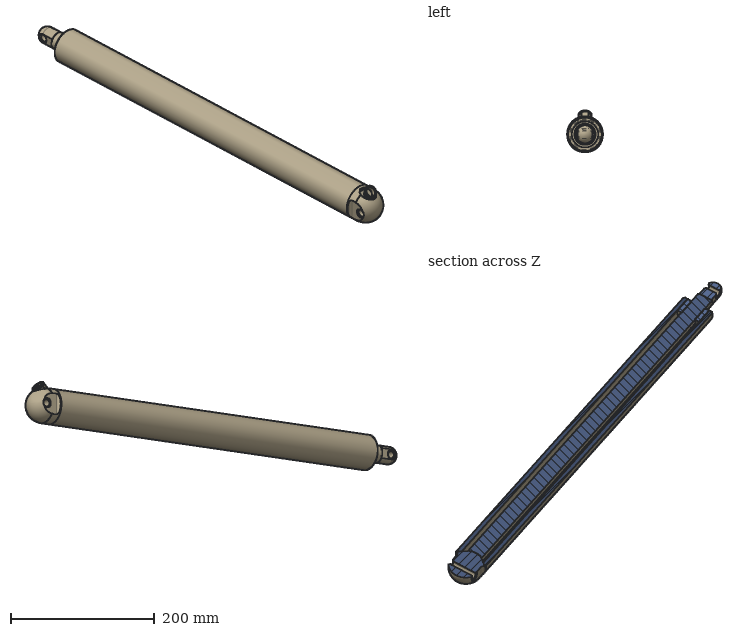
import cadquery as cq
import math

LENGTH = 643.0

TUBE_DIAMETER = 50.0
TUBE_BORE = 36.5
TUBE_START = 47.5
TUBE_END = 605.0
TUBE_CHAMFER = 2.0
GLAND_MOUTH = 29.5
GLAND_DEPTH = 26.0

ROD_DIAMETER = 25.0
EYE_HOLE_X = 13.5
EYE_FLAT_WIDTH = 20.5
EYE_END = 31.5

PIN_HOLE = 10.0
PIN_COUNTERSINK = 13.5

CAP_FLAT_WIDTH = 40.5
CAP_FLAT_START = 607.0
CAP_FLAT_FILLET = 4.0
CAP_EYE_X = 627.0
DOME_DIAMETER = 49.5

FITTING_RIM_DIAMETER = 18.5
FITTING_RIM_THICKNESS = 2.0
FITTING_LENGTH = 18.0
FITTING_BORE = 13.5
FITTING_BORE_DEPTH = 8.0
FITTING_TILT = 45.0
FITTING_TOP_X = 621.0
FITTING_TOP_Z = 33.5
POCKET_DIAMETER = 22.0


def cylinder(diameter, start, end):
    """Solid cylinder on the ram's axis."""
    return cq.Workplane("YZ", origin=(start, 0, 0)).circle(diameter / 2).extrude(end - start)


def ball(diameter, x):
    """Sphere centred on the ram's axis, revolved about it so that its poles lie on X."""
    radius = diameter / 2
    return (
        cq.Workplane("XY")
        .moveTo(-radius, 0)
        .threePointArc((0, radius), (radius, 0))
        .close()
        .revolve(360, (0, 0, 0), (1, 0, 0))
        .translate((x, 0, 0))
    )


def pin_hole(x, flat_width):
    """Cutter for a hole along Y, countersunk at 45 degrees on both flats."""
    half_width = flat_width / 2
    bore_radius = PIN_HOLE / 2
    mouth_radius = PIN_COUNTERSINK / 2
    cone_depth = mouth_radius - bore_radius
    profile = [
        (0, -half_width),
        (mouth_radius, -half_width),
        (bore_radius, cone_depth - half_width),
        (bore_radius, half_width - cone_depth),
        (mouth_radius, half_width),
        (0, half_width),
    ]
    return (
        cq.Workplane("XY")
        .polyline(profile)
        .close()
        .revolve(360, (0, 0, 0), (0, 1, 0))
        .translate((x, 0, 0))
    )


def side_cutter(side, flat_width, start, end):
    """Block that cuts one flat, on the +Y (side = 1) or -Y (side = -1) side."""
    depth = TUBE_DIAMETER
    return (
        cq.Workplane("XY")
        .box(end - start, depth, TUBE_DIAMETER * 2)
        .translate(((start + end) / 2, side * (flat_width + depth) / 2, 0))
    )


def make_rod_eye():
    radius = ROD_DIAMETER / 2
    body = cylinder(ROD_DIAMETER, radius, EYE_END).union(ball(ROD_DIAMETER, radius))
    for side in (-1, 1):
        body = body.cut(side_cutter(side, EYE_FLAT_WIDTH, 0, EYE_END))
    return body.cut(pin_hole(EYE_HOLE_X, EYE_FLAT_WIDTH))


def make_rod():
    return cylinder(ROD_DIAMETER, EYE_END, TUBE_END)


def make_tube():
    tube = cylinder(TUBE_DIAMETER, TUBE_START, TUBE_END).faces("<X").chamfer(TUBE_CHAMFER)
    return tube.cut(cylinder(TUBE_BORE, TUBE_START, TUBE_END))


def make_gland():
    """Bush between rod and tube, with a 45-degree countersink at its mouth."""
    bush = cylinder(TUBE_BORE, TUBE_START, TUBE_START + GLAND_DEPTH)
    bush = bush.cut(cylinder(ROD_DIAMETER, TUBE_START, TUBE_START + GLAND_DEPTH))
    mouth_chamfer = (GLAND_MOUTH - ROD_DIAMETER) / 2
    return bush.faces("<X").edges(cq.selectors.RadiusNthSelector(0)).chamfer(mouth_chamfer)


def fitting_plane():
    """Plane of the fitting's outer end, with its normal along the fitting's axis."""
    tilt = math.radians(FITTING_TILT)
    rim_radius = FITTING_RIM_DIAMETER / 2
    face_centre = (
        FITTING_TOP_X + rim_radius * math.cos(tilt),
        0,
        FITTING_TOP_Z - rim_radius * math.sin(tilt),
    )
    return cq.Plane(
        origin=face_centre,
        xDir=(0, 1, 0),
        normal=(math.sin(tilt), 0, math.cos(tilt)),
    )


def make_fitting():
    """Hexagonal bar with one flat facing up and towards -X, and a bored round rim on its end."""
    end_plane = fitting_plane()
    hexagon = cq.Workplane(end_plane).polygon(6, FITTING_RIM_DIAMETER).extrude(-FITTING_LENGTH)
    rim = cq.Workplane(end_plane).circle(FITTING_RIM_DIAMETER / 2).extrude(-FITTING_RIM_THICKNESS)
    bore = cq.Workplane(end_plane).circle(FITTING_BORE / 2).extrude(-FITTING_BORE_DEPTH)
    return hexagon.union(rim).cut(bore)


def make_cap():
    dome_x = LENGTH - DOME_DIAMETER / 2
    body = cylinder(TUBE_DIAMETER, TUBE_END, dome_x).union(ball(DOME_DIAMETER, dome_x))
    for side in (-1, 1):
        cutter = side_cutter(side, CAP_FLAT_WIDTH, CAP_FLAT_START, LENGTH)
        inner_face = "<Y" if side > 0 else ">Y"
        cutter = cutter.faces(inner_face).edges("<X").fillet(CAP_FLAT_FILLET)
        body = body.cut(cutter)
    pocket = (
        cq.Workplane(fitting_plane())
        .workplane(offset=-FITTING_LENGTH)
        .circle(POCKET_DIAMETER / 2)
        .extrude(TUBE_DIAMETER)
    )
    return body.cut(pin_hole(CAP_EYE_X, CAP_FLAT_WIDTH)).cut(pocket)


rod_eye = make_rod_eye()
rod = make_rod()
tube = make_tube()
gland = make_gland()
cap = make_cap()
fitting = make_fitting()

result = cq.Compound.makeCompound(
    [rod_eye.val(), rod.val(), tube.val(), gland.val(), cap.val(), fitting.val()]
)